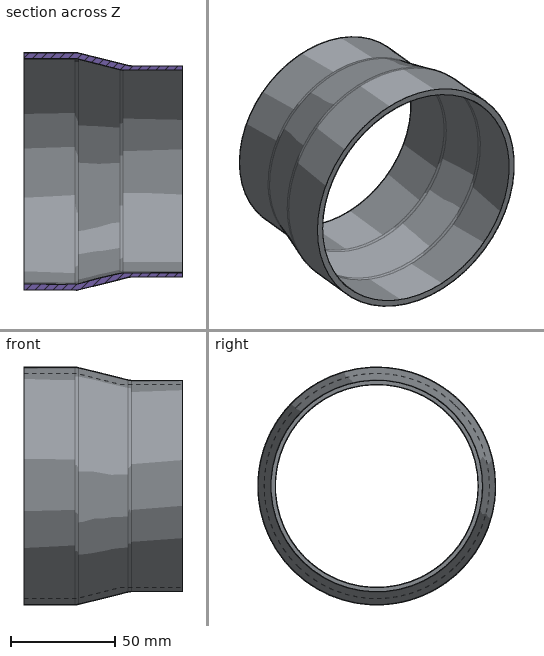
import cadquery as cq

length = 76.2
large_outer_diameter = 114.3
large_inner_diameter = 108.2
small_outer_diameter = 101.6
small_inner_diameter = 97.4
bend_radius = 6.5

cone_start = length / 3
outer_cone_end = 2 * length / 3
bore_cone_end = 46.9


def reducer_body(large_diameter, small_diameter, cone_end):
    """Solid collar-cone-collar body with rounded transitions."""
    large_radius = large_diameter / 2
    small_radius = small_diameter / 2
    body = (
        cq.Workplane("XY")
        .moveTo(0, 0)
        .lineTo(0, large_radius)
        .lineTo(cone_start, large_radius)
        .lineTo(cone_end, small_radius)
        .lineTo(length, small_radius)
        .lineTo(length, 0)
        .close()
        .revolve(360, (0, 0, 0), (1, 0, 0))
    )
    transition_edges = cq.selectors.BoxSelector(
        (cone_start / 2, -large_diameter, -large_diameter),
        (length - cone_start / 2, large_diameter, large_diameter),
    )
    return body.edges("%CIRCLE").edges(transition_edges).fillet(bend_radius)


outside = reducer_body(large_outer_diameter, small_outer_diameter, outer_cone_end)
bore = reducer_body(large_inner_diameter, small_inner_diameter, bore_cone_end)
result = outside.cut(bore)